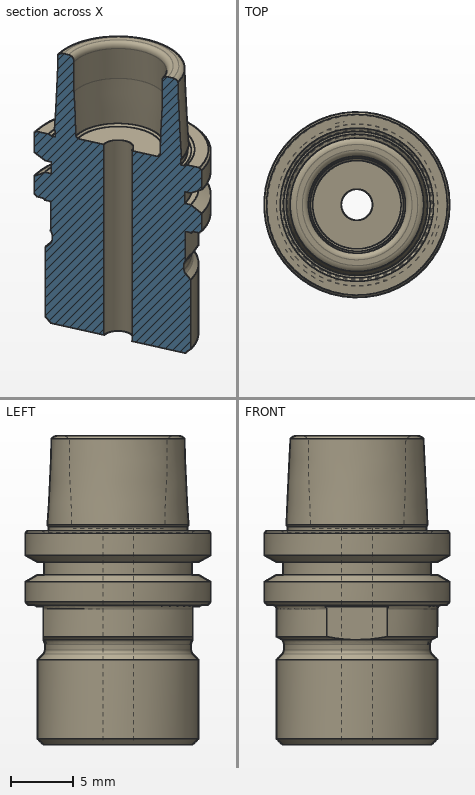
import cadquery as cq
import math

length = 24.9
flange_r = 14.96 / 2
collar_r = 13.0 / 2

shank_chamfer = 0.5
shank_top_z = 6.85
neck_r = 11.8 / 2
neck_bottom_z = 7.67
neck_top_z = 8.12
neck_fillet_rise = 0.35
neck_cone_inner_r = 6.03

collar_bottom_z = 8.72
collar_fillet = 0.3
flat_distance = 6.03
flat_bottom_z = 8.22
flat_top_z = 11.1

flange_bottom_z = 11.25
flange_top_z = 17.25
flange_bottom_chamfer = 0.25
flange_top_chamfer = 0.2
groove_lower_edge_z = 13.12
groove_bottom_z = 13.7
groove_top_z = 14.72
groove_upper_edge_z = 15.26
groove_r = 5.98

relief_outer_r = 6.18
relief_floor_r = 5.9
relief_depth = 0.12
root_r = 11.23 / 2

taper_base_z = 17.73
taper_base_r = 5.7
taper_base_step = 0.15
taper_tip_r = 5.38
tip_edge_drop = 0.25
rim_outer_r = 4.88
rim_inner_r = 8.85 / 2

mouth_r = 7.82 / 2
bore_r = 7.5 / 2
bore_taper_z = 21.66
bore_floor_z = 17.43
floor_r = 3.55
through_hole_d = 2.5


def arc_middle(start, end, bulge_r, bulge_z):
    """Midpoint of a chord, moved by the given radial and axial amounts."""
    return ((start[0] + end[0]) / 2 + bulge_r, (start[1] + end[1]) / 2 + bulge_z)


def make_body():
    """Revolve the outer profile, drawn as radius and height, about Z."""
    lower_blend_start = (neck_cone_inner_r, neck_bottom_z - neck_fillet_rise)
    lower_blend_end = (neck_r, neck_bottom_z)
    upper_blend_start = (neck_r, neck_top_z)
    upper_blend_end = (neck_cone_inner_r, neck_top_z + neck_fillet_rise)
    blend_sag = 0.02

    fillet_start = (collar_r, flange_bottom_z - collar_fillet)
    fillet_end = (collar_r + collar_fillet, flange_bottom_z)
    fillet_bulge = collar_fillet * (math.sqrt(0.5) - 0.5)

    tip_start = (taper_tip_r, length - tip_edge_drop)
    tip_end = (rim_outer_r, length)
    tip_sag = 0.05

    profile = (
        cq.Workplane("XZ")
        .moveTo(0, 0)
        .lineTo(collar_r - shank_chamfer, 0)
        .lineTo(collar_r, shank_chamfer)
        .lineTo(collar_r, shank_top_z)
        .lineTo(*lower_blend_start)
        .threePointArc(arc_middle(lower_blend_start, lower_blend_end, -blend_sag, 0), lower_blend_end)
        .lineTo(*upper_blend_start)
        .threePointArc(arc_middle(upper_blend_start, upper_blend_end, -blend_sag, 0), upper_blend_end)
        .lineTo(collar_r, collar_bottom_z)
        .lineTo(*fillet_start)
        .threePointArc(arc_middle(fillet_start, fillet_end, -fillet_bulge, fillet_bulge), fillet_end)
        .lineTo(flange_r - flange_bottom_chamfer, flange_bottom_z)
        .lineTo(flange_r, flange_bottom_z + flange_bottom_chamfer)
        .lineTo(flange_r, groove_lower_edge_z)
        .lineTo(collar_r, groove_bottom_z)
        .lineTo(groove_r, groove_bottom_z)
        .lineTo(groove_r, groove_top_z)
        .lineTo(collar_r, groove_top_z)
        .lineTo(flange_r, groove_upper_edge_z)
        .lineTo(flange_r, flange_top_z - flange_top_chamfer)
        .lineTo(flange_r - flange_top_chamfer, flange_top_z)
        .lineTo(relief_outer_r, flange_top_z)
        .lineTo(relief_floor_r, flange_top_z - relief_depth)
        .lineTo(root_r, flange_top_z - relief_depth)
        .lineTo(root_r, taper_base_z - taper_base_step)
        .lineTo(taper_base_r, taper_base_z)
        .lineTo(*tip_start)
        .threePointArc(arc_middle(tip_start, tip_end, tip_sag / 2, tip_sag), tip_end)
        .lineTo(0, length)
        .close()
    )
    return profile.revolve(360, (0, 0), (0, 1))


def make_bore():
    """Bore tapering below a straight mouth, with a rounded mouth and a bevelled floor."""
    mouth_round = rim_inner_r - mouth_r
    inset = mouth_round * (1 - math.sqrt(0.5))
    return (
        cq.Workplane("XZ")
        .moveTo(0, bore_floor_z)
        .lineTo(floor_r, bore_floor_z)
        .lineTo(bore_r, bore_floor_z + bore_r - floor_r)
        .lineTo(mouth_r, bore_taper_z)
        .lineTo(mouth_r, length - mouth_round)
        .threePointArc((mouth_r + inset, length - inset), (rim_inner_r, length))
        .lineTo(0, length)
        .close()
        .revolve(360, (0, 0), (0, 1))
    )


def make_flat_cutter(side):
    """Block that removes collar material beyond the flat on the +Y or -Y side."""
    depth = flange_r - flat_distance
    height = flat_top_z - flat_bottom_z
    return cq.Workplane("XY").box(2 * flange_r, depth, height).translate(
        (0, side * (flat_distance + depth / 2), flat_bottom_z + height / 2)
    )


result = make_body().cut(make_bore())
for side in (-1, 1):
    result = result.cut(make_flat_cutter(side))
result = result.cut(cq.Workplane("XY").circle(through_hole_d / 2).extrude(length))